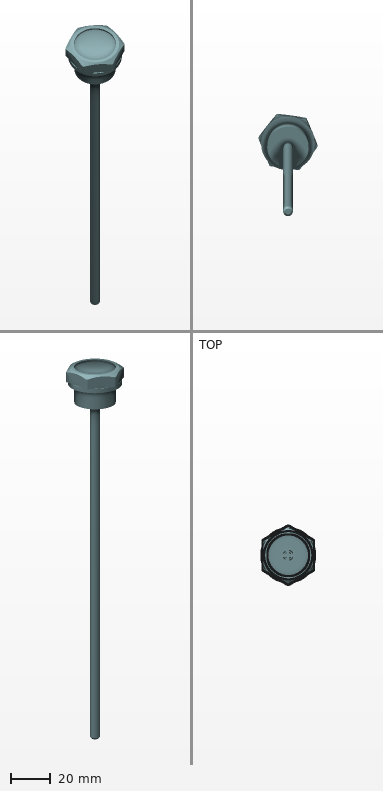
import cadquery as cq
import math

total_length = 199.0

across_flats = 26.0
corner_radius = 1.2
head_height = 6.8
crown_diameter = 24.3
crown_angle = 30.0
recess_diameter = 21.0
recess_depth = 1.0
across_corners = across_flats * 2 / math.sqrt(3)

flange_diameter = 27.0
flange_height = 2.4
plug_diameter = 20.9
plug_height = 9.8
rod_diameter = 5.0
tip_chamfer = 1.0

head_bottom = total_length - head_height
flange_bottom = head_bottom - flange_height
plug_bottom = flange_bottom - plug_height


def cylinder(diameter, bottom, height):
    return cq.Workplane("XY").workplane(offset=bottom).circle(diameter / 2).extrude(height)


def crown_envelope():
    """Solid of revolution whose conical top trims the corners of the head."""
    crown_radius = crown_diameter / 2
    outer_radius = across_corners / 2
    drop = (outer_radius - crown_radius) * math.tan(math.radians(crown_angle))
    profile = [
        (0, head_bottom),
        (outer_radius, head_bottom),
        (outer_radius, total_length - drop),
        (crown_radius, total_length),
        (0, total_length),
    ]
    return cq.Workplane("XZ").polyline(profile).close().revolve(360, (0, 0, 0), (0, 1, 0))


def hex_head():
    """Head with two corners on the Y axis, rounded edges, a crown chamfer and a round recess."""
    head = (
        cq.Workplane("XY")
        .workplane(offset=head_bottom)
        .transformed(rotate=(0, 0, 90))
        .polygon(6, across_corners)
        .extrude(head_height)
        .edges("|Z")
        .fillet(corner_radius)
    )
    recess = cylinder(recess_diameter, total_length - recess_depth, recess_depth)
    return head.intersect(crown_envelope()).cut(recess)


flange = cylinder(flange_diameter, flange_bottom, flange_height)
plug = cylinder(plug_diameter, plug_bottom, plug_height)
rod = cylinder(rod_diameter, 0, plug_bottom).faces("<Z").chamfer(tip_chamfer)

result = hex_head().union(flange).union(plug).union(rod)